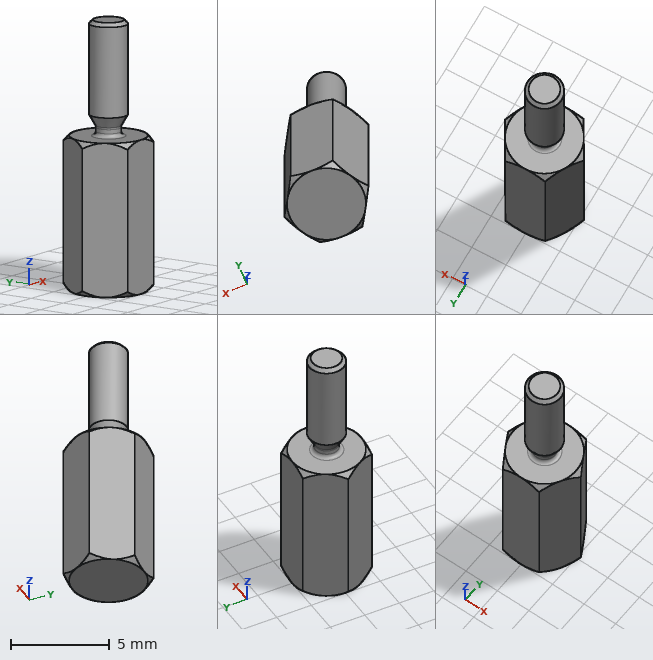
import cadquery as cq
import math

hex_sides = 6
across_flats = 4.0
hex_length = 8.0
total_length = 14.0
chamfer_angle = 45.0

stud_diameter = 2.0
tip_chamfer = 0.2
stud_start = 9.1

neck_diameter = 1.3
root_fillet = 0.22
relief_blend = 0.22
relief_angle = 30.0

across_corners = across_flats / math.cos(math.pi / hex_sides)
flat_radius = across_flats / 2
corner_radius = across_corners / 2
bevel_drop = (corner_radius - flat_radius) * math.tan(math.radians(chamfer_angle))
stud_radius = stud_diameter / 2
tip_radius = stud_radius - tip_chamfer
neck_radius = neck_diameter / 2


def make_hexagon():
    """Hexagonal body, corners on the X axis, bevelled by a cone at both ends."""
    prism = cq.Workplane("XY").polygon(hex_sides, across_corners).extrude(hex_length)
    envelope = (
        cq.Workplane("XZ")
        .lineTo(flat_radius, 0)
        .lineTo(corner_radius, bevel_drop)
        .lineTo(corner_radius, hex_length - bevel_drop)
        .lineTo(flat_radius, hex_length)
        .lineTo(0, hex_length)
        .close()
        .revolve(360, (0, 0, 0), (0, 1, 0))
    )
    return prism.intersect(envelope)


def make_stud():
    """Stud with a chamfered tip and a filleted relief neck, as one turned profile."""
    slope = math.radians(relief_angle)
    blend_top_radius = neck_radius + relief_blend * (1 - math.cos(slope))
    blend_top = stud_start - (stud_radius - blend_top_radius) / math.tan(slope)
    blend_start = blend_top - relief_blend * math.sin(slope)
    blend_mid = (
        neck_radius + relief_blend * (1 - math.cos(slope / 2)),
        blend_start + relief_blend * math.sin(slope / 2),
    )
    root_mid_offset = root_fillet * (1 - math.sqrt(0.5))
    return (
        cq.Workplane("XZ")
        .moveTo(0, hex_length)
        .lineTo(neck_radius + root_fillet, hex_length)
        .threePointArc(
            (neck_radius + root_mid_offset, hex_length + root_mid_offset),
            (neck_radius, hex_length + root_fillet),
        )
        .lineTo(neck_radius, blend_start)
        .threePointArc(blend_mid, (blend_top_radius, blend_top))
        .lineTo(stud_radius, stud_start)
        .lineTo(stud_radius, total_length - tip_chamfer)
        .lineTo(tip_radius, total_length)
        .lineTo(0, total_length)
        .close()
        .revolve(360, (0, 0, 0), (0, 1, 0))
    )


result = make_hexagon().union(make_stud())